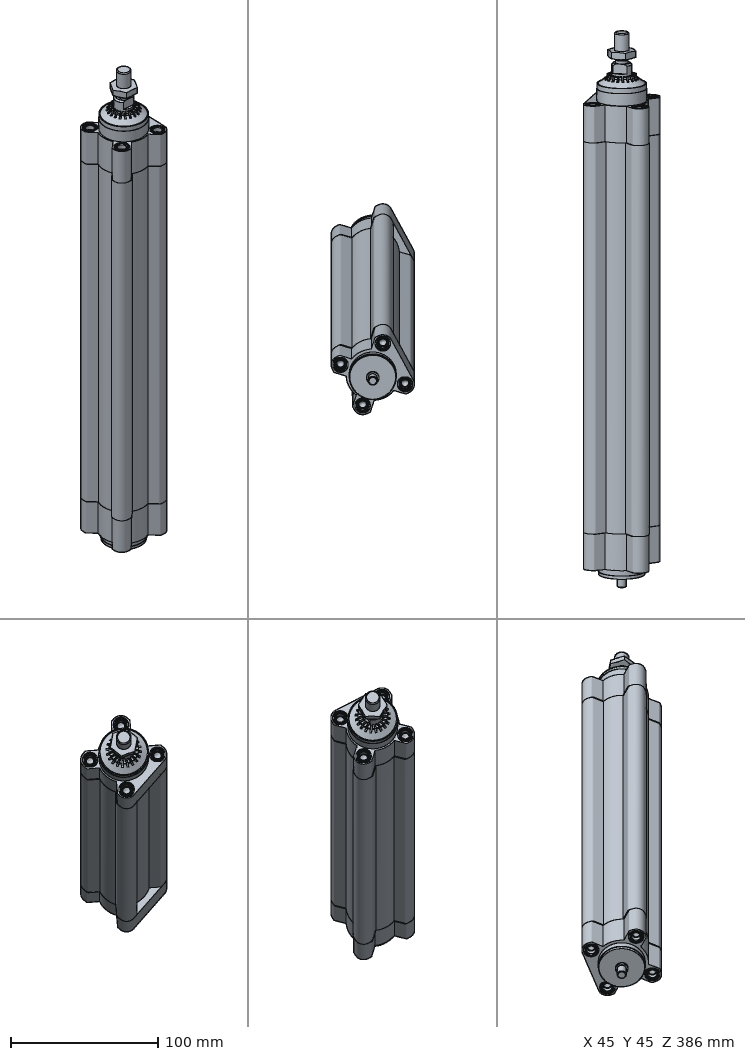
import cadquery as cq
import math

total_length = 386.0
cap_length = 25.5
rear_cap_bottom = 15.5
tube_bottom = rear_cap_bottom + cap_length
tube_top = 313.0
front_cap_top = tube_top + cap_length

body_width = 45.0
half_width = body_width / 2
core_diameter = 36.3
lobe_pitch = 32.5
lobe_corner_radius = half_width - lobe_pitch / 2
cap_lobe_width = 12.7
cap_lobe_blend = 1.0
tube_lobe_width = 14.0
tube_lobe_blend = 2.0

ring_outer_diameter = 10.5
ring_inner_diameter = 8.5
ring_depth = 1.0
socket_mouth_diameter = 7.5
socket_diameter = 6.0
socket_depth = 4.0
cone_diameter = 5.0
cone_depth = 1.5

housing_diameter = 34.0
housing_rim_diameter = 33.5
housing_step = 347.0
housing_rim_top = 350.5
cone_base_diameter = 32.0
cone_top = 355.0
wiper_diameter = 20.0
wiper_top = 356.5
notch_ring_diameter = 24.0
notch_count = 20
notch_width = 1.0

spigot_diameter = 32.0
spigot_tip_diameter = 31.3
spigot_step = 11.0
spigot_bottom = 9.0
shoulder_diameter = 8.5
shoulder_bottom = 7.5
stub_diameter = 6.0
stub_tip_diameter = 5.0

rod_diameter = 14.0
rod_shoulder = 364.5
rod_chamfer = 1.0
flat_width = 10.0
flat_bottom = 358.0
neck_diameter = 8.5
neck_top = 366.5
stud_diameter = 10.0
stud_chamfer = (stud_diameter - neck_diameter) / 2

nut_across_flats = 17.0
nut_bottom = 368.5
nut_thickness = 5.0
nut_top = nut_bottom + nut_thickness
nut_face_diameter = 16.5
nut_corner_drop = 0.5


def diagonal_bar(lobe_width, lobe_blend, length):
    """Bar along X with right-angled tips, which form two opposite corner lobes once turned 45 degrees."""
    tip = half_width * math.sqrt(2)
    half_lobe = lobe_width / 2
    shoulder = tip - half_lobe
    outline = [
        (tip, 0), (shoulder, half_lobe), (-shoulder, half_lobe),
        (-tip, 0), (-shoulder, -half_lobe), (shoulder, -half_lobe),
    ]
    bar = cq.Workplane("XY").polyline(outline).close().extrude(length)
    bar = bar.edges("|Z and (>Y or <Y)").fillet(lobe_blend)
    return bar.edges("|Z and (>X or <X)").fillet(lobe_corner_radius)


def lobed_block(lobe_width, lobe_blend, bottom, length):
    """Round core with four corner lobes."""
    block = cq.Workplane("XY").circle(core_diameter / 2).extrude(length)
    bar = diagonal_bar(lobe_width, lobe_blend, length)
    for angle in (45, 135):
        block = block.union(bar.rotate((0, 0, 0), (0, 0, 1), angle))
    return block.translate((0, 0, bottom))


def disc(diameter, bottom, top):
    """Upright cylinder on the Z axis."""
    return cq.Workplane("XY").workplane(offset=bottom).circle(diameter / 2).extrude(top - bottom)


def turned(profile):
    """Solid of revolution about Z from (diameter, level) points; its ends close on the axis."""
    points = [(diameter / 2, level) for diameter, level in profile]
    axis_ends = [(0, profile[-1][1]), (0, profile[0][1])]
    outline = points + [end for end in axis_ends if end not in points]
    return cq.Workplane("XZ").polyline(outline).close().revolve(360, (0, 0, 0), (0, 1, 0))


def screw_recess(face):
    """Ring groove around a chamfered socket with a conical floor, sunk below a face at the given level."""
    ring = disc(ring_outer_diameter, face - ring_depth, face)
    ring = ring.cut(disc(ring_inner_diameter, face - ring_depth, face))
    mouth_depth = (socket_mouth_diameter - socket_diameter) / 2
    floor = face - socket_depth
    socket = turned([
        (socket_mouth_diameter, face),
        (socket_diameter, face - mouth_depth),
        (socket_diameter, floor),
        (cone_diameter, floor),
        (0, floor - cone_depth),
    ])
    return ring.union(socket)


def cap_body(bottom):
    """Lobed end cap, filled out to a flat face on its +Y side."""
    flat_side = cq.Workplane("XY").box(lobe_pitch, half_width, cap_length, centered=(True, False, False))
    lobes = lobed_block(cap_lobe_width, cap_lobe_blend, bottom, cap_length)
    return lobes.union(flat_side.translate((0, 0, bottom)))


def cut_screw_recesses(cap, recess):
    """Sink one recess into each of the four lobes."""
    for x in (-lobe_pitch / 2, lobe_pitch / 2):
        for y in (-lobe_pitch / 2, lobe_pitch / 2):
            cap = cap.cut(recess.translate((x, y, 0)))
    return cap


tube = lobed_block(tube_lobe_width, tube_lobe_blend, tube_bottom, tube_top - tube_bottom)


def make_front_cap():
    cap = cut_screw_recesses(cap_body(tube_top), screw_recess(front_cap_top))
    cap = cap.union(turned([
        (housing_diameter, front_cap_top),
        (housing_diameter, housing_step),
        (housing_rim_diameter, housing_step),
        (housing_rim_diameter, housing_rim_top),
        (cone_base_diameter, housing_rim_top),
        (wiper_diameter, cone_top),
        (wiper_diameter, wiper_top),
    ]))
    cone_slope = (cone_top - housing_rim_top) / (cone_base_diameter - wiper_diameter)
    notch_floor = cone_top - cone_slope * (notch_ring_diameter - wiper_diameter)
    notch = cq.Workplane("XY").box(
        notch_ring_diameter, notch_width, wiper_top - notch_floor, centered=(False, True, False))
    notch = notch.translate((0, 0, notch_floor))
    cap = cap.cut(disc(rod_diameter, tube_top, wiper_top))
    for i in range(notch_count):
        cap = cap.cut(notch.rotate((0, 0, 0), (0, 0, 1), i * 360 / notch_count))
    return cap


front_cap = make_front_cap()


def make_rear_cap():
    recess = screw_recess(rear_cap_bottom).mirror("XY", (0, 0, rear_cap_bottom))
    cap = cut_screw_recesses(cap_body(rear_cap_bottom), recess)
    stub_chamfer = (stub_diameter - stub_tip_diameter) / 2
    return cap.union(turned([
        (spigot_diameter, rear_cap_bottom),
        (spigot_diameter, spigot_step),
        (spigot_tip_diameter, spigot_step),
        (spigot_tip_diameter, spigot_bottom),
        (shoulder_diameter, spigot_bottom),
        (shoulder_diameter, shoulder_bottom),
        (stub_diameter, shoulder_bottom),
        (stub_diameter, stub_chamfer),
        (stub_tip_diameter, 0),
    ]))


rear_cap = make_rear_cap()


def make_rod():
    shaft = disc(rod_diameter, tube_top, rod_shoulder).faces(">Z").chamfer(rod_chamfer)
    jaw = cq.Workplane("XY").box(
        rod_diameter, rod_diameter, rod_shoulder - flat_bottom, centered=(False, True, False))
    shaft = shaft.cut(jaw.translate((flat_width / 2, 0, flat_bottom)))
    shaft = shaft.cut(jaw.translate((-flat_width / 2 - rod_diameter, 0, flat_bottom)))
    neck = disc(neck_diameter, rod_shoulder, neck_top)
    stud = disc(stud_diameter, neck_top, total_length).faces("<Z or >Z").chamfer(stud_chamfer)
    return shaft.union(neck).union(stud)


rod = make_rod()


def make_nut():
    across_corners = nut_across_flats / math.cos(math.radians(30))
    hexagon = cq.Workplane("XY").polygon(6, across_corners).extrude(nut_thickness)
    hexagon = hexagon.rotate((0, 0, 0), (0, 0, 1), 90).translate((0, 0, nut_bottom))
    chamfer_envelope = turned([
        (nut_face_diameter, nut_bottom),
        (across_corners, nut_bottom + nut_corner_drop),
        (across_corners, nut_top - nut_corner_drop),
        (nut_face_diameter, nut_top),
    ])
    return hexagon.intersect(chamfer_envelope).cut(disc(stud_diameter, nut_bottom, nut_top))


nut = make_nut()

result = cq.Compound.makeCompound([
    *tube.solids().vals(), *front_cap.solids().vals(), *rear_cap.solids().vals(),
    *rod.solids().vals(), *nut.solids().vals(),
])